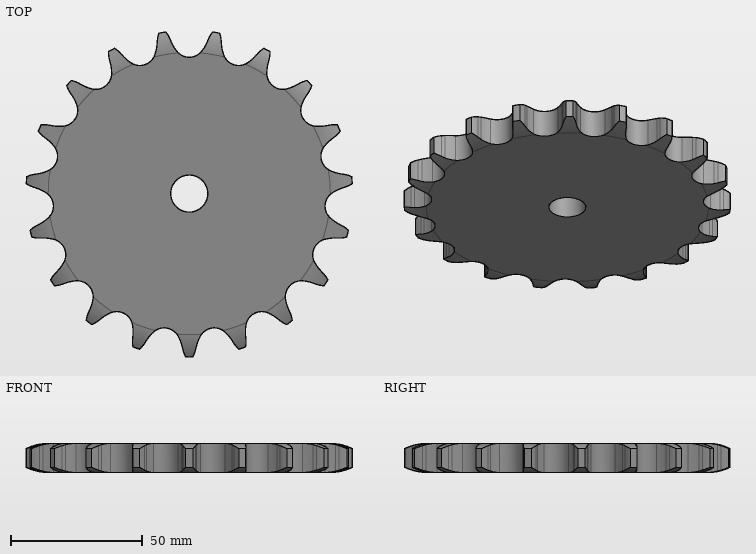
import cadquery as cq
import math


teeth = 19
pitch = 19.05
roller_diameter = 11.91
tip_diameter = 124.19
thickness = 11.1
bore_diameter = 14.0
side_relief_radius = 19.0
side_relief_depth = 2.0

tip_radius = tip_diameter / 2
half_pitch_angle = math.pi / teeth
pitch_radius = pitch / (2 * math.sin(half_pitch_angle))

running_clearance = 0.0381
seat_radius = 0.5025 * roller_diameter + running_clearance
working_centre_distance = 0.8 * roller_diameter
topping_centre_distance = 1.4 * roller_diameter
working_radius = working_centre_distance + seat_radius
seat_angle = math.radians(35 + 60 / teeth)
working_sweep = math.radians(18 - 56 / teeth)
flank_angle = seat_angle - working_sweep


def polar(centre, radius, angle):
    """Point at the given radius and angle (radians) from a centre."""
    return (centre[0] + radius * math.cos(angle), centre[1] + radius * math.sin(angle))


def rotated(point, angle):
    """Point turned about the wheel axis."""
    x, y = point
    cosine = math.cos(angle)
    sine = math.sin(angle)
    return (x * cosine - y * sine, x * sine + y * cosine)


def mirrored(point):
    """Point reflected across the centre line of a tooth gap on +Y."""
    return (-point[0], point[1])


def flank_points():
    """Points along the +X flank of the tooth gap on +Y, from seat to tip.

    The flank is a concave working arc, a short straight and a convex topping arc.
    """
    seat_centre = (0, pitch_radius)
    working_centre = polar(seat_centre, working_centre_distance, math.pi - seat_angle)
    topping_centre = polar(seat_centre, topping_centre_distance, -half_pitch_angle)

    seat_end = polar(seat_centre, seat_radius, -seat_angle)
    working_middle = polar(working_centre, working_radius, -(seat_angle + flank_angle) / 2)
    working_end = polar(working_centre, working_radius, -flank_angle)

    offset_x = topping_centre[0] - working_end[0]
    offset_y = topping_centre[1] - working_end[1]
    topping_radius = offset_x * math.cos(flank_angle) - offset_y * math.sin(flank_angle)
    topping_start_angle = math.pi - flank_angle
    topping_start = polar(topping_centre, topping_radius, topping_start_angle)

    centre_distance = math.hypot(*topping_centre)
    centre_direction = math.atan2(topping_centre[1], topping_centre[0])
    squared_difference = tip_radius**2 - centre_distance**2 - topping_radius**2
    cosine = squared_difference / (2 * centre_distance * topping_radius)
    topping_end_angle = centre_direction + math.acos(cosine)
    topping_middle = polar(topping_centre, topping_radius, (topping_start_angle + topping_end_angle) / 2)
    topping_end = polar(topping_centre, topping_radius, topping_end_angle)

    return seat_end, working_middle, working_end, topping_start, topping_middle, topping_end


def tooth_outline():
    """Closed outline of all teeth, drawn gap by gap with the first gap on +Y."""
    (
        seat_end,
        working_middle,
        working_end,
        topping_start,
        topping_middle,
        topping_end,
    ) = flank_points()
    seat_bottom = (0, pitch_radius - seat_radius)
    tooth_crest = rotated((0, tip_radius), -half_pitch_angle)

    segments = [
        (mirrored(topping_middle), mirrored(topping_start)),
        (mirrored(working_end),),
        (mirrored(working_middle), mirrored(seat_end)),
        (seat_bottom, seat_end),
        (working_middle, working_end),
        (topping_start,),
        (topping_middle, topping_end),
        (tooth_crest, rotated(mirrored(topping_end), -2 * half_pitch_angle)),
    ]

    outline = cq.Workplane("XY").moveTo(*mirrored(topping_end))
    for index in range(teeth):
        turn = -2 * half_pitch_angle * index
        for segment in segments:
            points = [rotated(point, turn) for point in segment]
            if len(points) == 1:
                outline = outline.lineTo(*points[0])
            else:
                outline = outline.threePointArc(*points)
    return outline.close()


def relieved_disc():
    """Bored disc whose rim is rounded on both faces to thin the teeth."""
    bore_radius = bore_diameter / 2
    relief_angle = math.acos(1 - side_relief_depth / side_relief_radius)
    relief_start = tip_radius - side_relief_radius * math.sin(relief_angle)
    top_centre = (relief_start, thickness - side_relief_radius)
    bottom_centre = (relief_start, side_relief_radius)
    middle_angle = (math.pi - relief_angle) / 2

    return (
        cq.Workplane("XZ")
        .moveTo(bore_radius, 0)
        .lineTo(relief_start, 0)
        .threePointArc(
            polar(bottom_centre, side_relief_radius, -middle_angle),
            (tip_radius, side_relief_depth),
        )
        .lineTo(tip_radius, thickness - side_relief_depth)
        .threePointArc(
            polar(top_centre, side_relief_radius, middle_angle),
            (relief_start, thickness),
        )
        .lineTo(bore_radius, thickness)
        .close()
        .revolve(360, (0, 0, 0), (0, 1, 0))
    )


result = relieved_disc().intersect(tooth_outline().extrude(thickness))